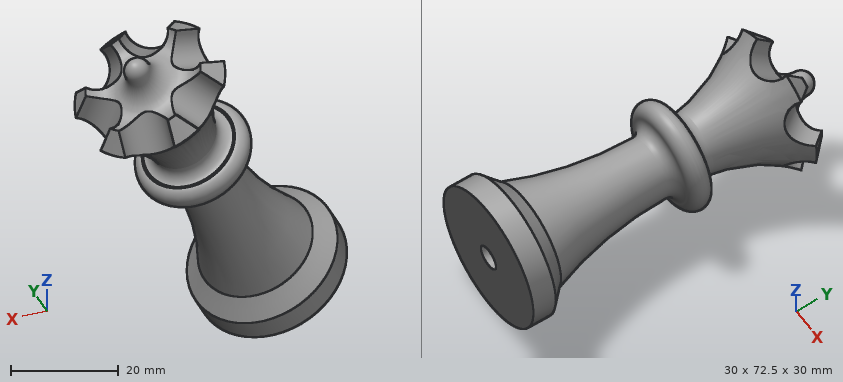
import cadquery as cq
import math

total_height = 72.5

base_radius = 15.0
base_height = 5.0
skirt_radius = 11.45
skirt_height = base_height + base_radius - skirt_radius
magnet_hole_diameter = 5.0
magnet_hole_depth = 5.0

stem_middle_radius = 7.7
stem_middle_height = 22.1
collar_radius = 11.45
collar_height = 40.95
bead_radius = 2.5
bead_center_radius = collar_radius - bead_radius
stem_top_radius = bead_center_radius - bead_radius
neck_cove_radius = 2.6
neck_radius = 6.7
neck_height = collar_height + bead_radius + neck_cove_radius
stem_top_height = collar_height - 2 * bead_radius

flare_middle_radius = 9.4
flare_middle_height = 55.4
crown_radius = 15.0
crown_edge_height = 63.45
rim_width = 3.55
rim_radius = crown_radius - rim_width
rim_height = crown_edge_height + rim_width

finial_radius = 2.5
finial_center_height = total_height - finial_radius
hollow_radius = 4.85
hollow_center_radius = finial_radius + hollow_radius

notch_count = 6
notch_radius = 4.9
notch_length = 21.75
notch_start_offset = 3.6
first_notch_angle = 30.0


def arc_middle(center_x, center_y, radius, angle):
    """Point on a circle at the given angle in degrees."""
    turn = math.radians(angle)
    return center_x + radius * math.cos(turn), center_y + radius * math.sin(turn)


def make_body():
    """Revolve the half profile about the Y axis."""
    lower_cove = arc_middle(bead_center_radius, stem_top_height, bead_radius, 135)
    bead_lower = arc_middle(bead_center_radius, collar_height, bead_radius, -45)
    bead_upper = arc_middle(bead_center_radius, collar_height, bead_radius, 45)
    upper_cove = arc_middle(neck_radius + neck_cove_radius, neck_height, neck_cove_radius, 225)
    hollow_bottom = arc_middle(hollow_center_radius, finial_center_height, hollow_radius, 270)
    finial_side = arc_middle(0, finial_center_height, finial_radius, 45)
    profile = (
        cq.Workplane("XY")
        .lineTo(base_radius, 0)
        .lineTo(base_radius, base_height)
        .lineTo(skirt_radius, skirt_height)
        .threePointArc((stem_middle_radius, stem_middle_height), (stem_top_radius, stem_top_height))
        .threePointArc(lower_cove, (bead_center_radius, collar_height - bead_radius))
        .threePointArc(bead_lower, (collar_radius, collar_height))
        .threePointArc(bead_upper, (bead_center_radius, collar_height + bead_radius))
        .lineTo(neck_radius + neck_cove_radius, collar_height + bead_radius)
        .threePointArc(upper_cove, (neck_radius, neck_height))
        .threePointArc((flare_middle_radius, flare_middle_height), (crown_radius, crown_edge_height))
        .lineTo(rim_radius, rim_height)
        .threePointArc(hollow_bottom, (finial_radius, finial_center_height))
        .threePointArc(finial_side, (0, total_height))
        .close()
    )
    return profile.revolve(360, (0, 0, 0), (0, 1, 0))


def make_notch(angle):
    """Round cutter lying along the sloping rim, turned about the Y axis."""
    slope = cq.Vector(1, -1, 0).normalized()
    start = cq.Vector(rim_radius, rim_height, 0) - slope * notch_start_offset
    cutter = cq.Solid.makeCylinder(notch_radius, notch_length, start, slope)
    return cutter.rotate(cq.Vector(0, 0, 0), cq.Vector(0, 1, 0), angle)


result = make_body()
for index in range(notch_count):
    result = result.cut(cq.Workplane(make_notch(first_notch_angle + index * 360 / notch_count)))

magnet_hole = cq.Solid.makeCylinder(
    magnet_hole_diameter / 2, magnet_hole_depth, cq.Vector(0, 0, 0), cq.Vector(0, 1, 0)
)
result = result.cut(cq.Workplane(magnet_hole))